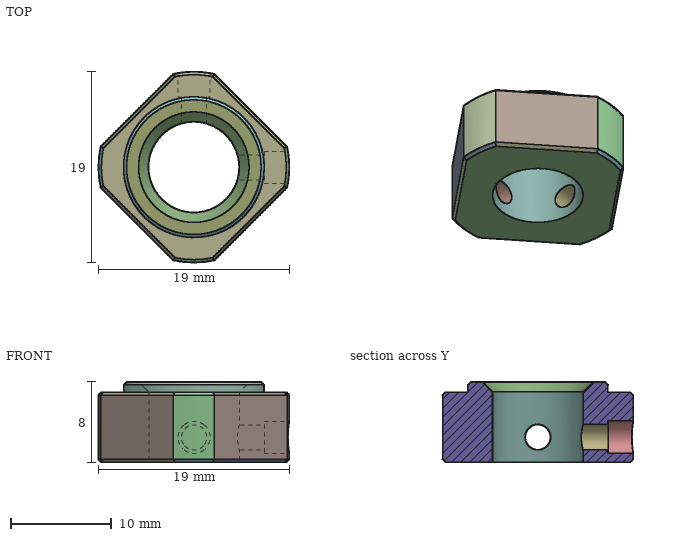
import cadquery as cq

corner_diameter = 19.0
across_flats = 16.0
body_height = 7.0
edge_chamfer = 0.3

collar_diameter = 14.0
collar_height = 1.0

bore_diameter = 9.0
countersink_diameter = 11.0
countersink_depth = (countersink_diameter - bore_diameter) / 2

cross_hole_diameter = 2.5
cross_hole_height = 2.5
counterbore_diameter = 3.2
counterbore_depth = (corner_diameter - bore_diameter) / 4

total_height = body_height + collar_height


def make_body():
    """Square prism rounded by a cylinder, chamfered along both end outlines."""
    square = cq.Workplane("XY").rect(across_flats, across_flats).extrude(body_height)
    square = square.rotate((0, 0, 0), (0, 0, 1), 45)
    cylinder = cq.Workplane("XY").circle(corner_diameter / 2).extrude(body_height)
    return square.intersect(cylinder).faces("<Z or >Z").chamfer(edge_chamfer)


def make_collar():
    """Collar reaching down through the body, chamfered at the top rim."""
    collar = cq.Workplane("XY").circle(collar_diameter / 2).extrude(total_height)
    return collar.faces(">Z").chamfer(edge_chamfer)


def make_bore():
    """Revolved bore and countersink."""
    bore_radius = bore_diameter / 2
    profile = [
        (0, 0),
        (bore_radius, 0),
        (bore_radius, total_height - countersink_depth),
        (countersink_diameter / 2, total_height),
        (0, total_height),
    ]
    return cq.Workplane("XZ").polyline(profile).close().revolve(360, (0, 0), (0, 1))


def make_cross_hole(outward):
    """Cylinder from the bore axis outwards, widened by a counterbore at the corner."""
    length = corner_diameter / 2
    start = cq.Vector(0, 0, cross_hole_height)
    counterbore_floor = start + outward * (length - counterbore_depth)
    hole = cq.Solid.makeCylinder(cross_hole_diameter / 2, length, start, outward)
    counterbore = cq.Solid.makeCylinder(
        counterbore_diameter / 2, counterbore_depth, counterbore_floor, outward
    )
    return cq.Workplane(obj=hole).union(cq.Workplane(obj=counterbore))


result = make_body().union(make_collar()).cut(make_bore())
for outward_axis in [cq.Vector(1, 0, 0), cq.Vector(0, 1, 0)]:
    result = result.cut(make_cross_hole(outward_axis))